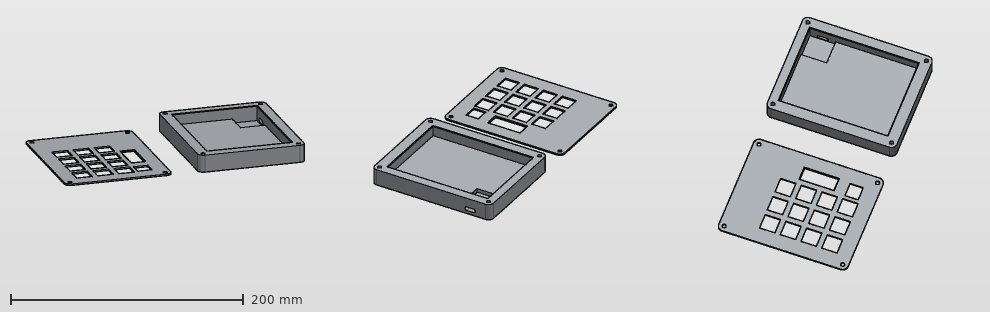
import cadquery as cq

width = 118.6
depth = 95.8
corner_radius = 5.0
total_length = 215.7
screw_inset = 5.0
screw_hole_diameter = 3.5

case_height = 15.5
cavity_width = 99.5
cavity_depth = 76.0
cavity_left = 8.6
cavity_front = 10.4
floor_thickness = 5.6
rim_chamfer = 0.6

recess_width = 23.5
recess_depth = 22.0
recess_floor = 2.0

cable_slot_center_x = cavity_left + recess_width / 2
cable_slot_center_z = 5.0
cable_slot_length = 10.4
cable_slot_height = 3.5

plate_thickness = 1.5
plate_bottom = 0.5
key_size = 14.0
key_pitch = 19.0
key_columns = 4
key_rows = 3
keys_left = 34.0
keys_front = 13.8

display_width = 31.0
display_depth = 11.6
display_left = 49.8
display_front = 71.0
display_chamfer = 0.6

knob_width = 12.0
knob_depth = 12.7
knob_left = 91.7
knob_front = 69.2


def box(left, front, bottom, size_x, size_y, size_z):
    """A block placed by its left, front, bottom corner."""
    return cq.Workplane("XY").box(size_x, size_y, size_z, centered=False).translate((left, front, bottom))


def rounded_slab(height):
    """The outline with round corners and a screw hole through each corner."""
    slab = box(0, 0, 0, width, depth, height).edges("|Z").fillet(corner_radius)
    screw_points = [
        (x, y)
        for x in (screw_inset, width - screw_inset)
        for y in (screw_inset, depth - screw_inset)
    ]
    holes = cq.Workplane("XY").pushPoints(screw_points).circle(screw_hole_diameter / 2).extrude(height)
    return slab.cut(holes)


def chamfered_opening(left, front, bottom, size_x, size_y, top, chamfer):
    """A rectangular opening up to the height top, widened by a chamfer at its upper rim."""
    shaft = box(left, front, bottom, size_x, size_y, top - bottom)
    rim = (
        cq.Workplane("XY", origin=(left + size_x / 2, front + size_y / 2, top))
        .rect(size_x + 2 * chamfer, size_y + 2 * chamfer)
        .workplane(offset=-chamfer)
        .rect(size_x, size_y)
        .loft()
    )
    return shaft.union(rim)


def make_case():
    case = rounded_slab(case_height)
    cavity = chamfered_opening(
        cavity_left, cavity_front, floor_thickness, cavity_width, cavity_depth, case_height, rim_chamfer
    )
    cavity_rear = cavity_front + cavity_depth
    recess = box(
        cavity_left,
        cavity_rear - recess_depth,
        recess_floor,
        recess_width,
        recess_depth,
        floor_thickness - recess_floor,
    )
    cable_slot = (
        cq.Workplane("XZ", origin=(cable_slot_center_x, depth, cable_slot_center_z))
        .slot2D(cable_slot_length, cable_slot_height)
        .extrude(depth - cavity_rear)
    )
    return case.cut(cavity).cut(recess).cut(cable_slot)


def make_cover_plate():
    plate = rounded_slab(plate_thickness)
    for column in range(key_columns):
        for row in range(key_rows):
            key_x = keys_left + column * key_pitch
            key_y = keys_front + row * key_pitch
            plate = plate.cut(box(key_x, key_y, 0, key_size, key_size, plate_thickness))
    display = chamfered_opening(
        display_left, display_front, 0, display_width, display_depth, plate_thickness, display_chamfer
    )
    knob = box(knob_left, knob_front, 0, knob_width, knob_depth, plate_thickness)
    return plate.cut(display).cut(knob)


case = make_case().translate((0, total_length - depth, 0))
cover_plate = make_cover_plate().translate((0, 0, plate_bottom))

result = cq.Compound.makeCompound([case.val(), cover_plate.val()])